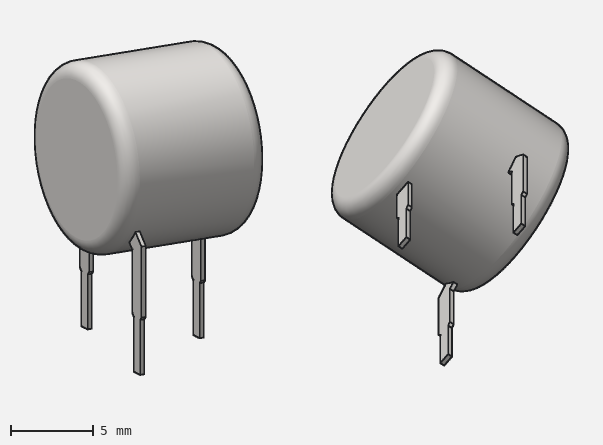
import cadquery as cq
import math

CAN_DIAMETER = 12.0
CAN_LENGTH = 10.0
CAN_EDGE_RADIUS = 1.0

LEAD_PITCH = 5.0
LEAD_THICKNESS = 0.3
SHANK_WIDTH = 1.15
TIP_WIDTH = 0.8
TIP_BOTTOM_Z = -12.5
TIP_TOP_Z = -9.0
SHOULDER_Z = -8.8
BEND_Z = -4.53
BEND_ANGLE = 45.0

LEFT_LEAD_Y = -1.5
CENTER_LEAD_Y = 3.5
RIGHT_LEAD_Y = -3.5

CAN_RADIUS = CAN_DIAMETER / 2
SHANK_HALF = SHANK_WIDTH / 2
TIP_HALF = TIP_WIDTH / 2


def make_can():
    drum = cq.Workplane("XZ", origin=(0, CAN_LENGTH / 2, 0)).circle(CAN_RADIUS).extrude(CAN_LENGTH)
    return drum.edges().fillet(CAN_EDGE_RADIUS)


def shank_top(lean):
    """Upper outline points, right to left, leaning toward +X (1), -X (-1) or straight up (0).

    The points reach inside the can, whose surface then trims the lead.
    """
    if lean == 0:
        return [(SHANK_HALF, 0), (-SHANK_HALF, 0)]
    angle = math.radians(BEND_ANGLE)
    miter = SHANK_HALF * math.tan(angle / 2)
    reach = CAN_RADIUS / 2
    run = reach * math.sin(angle)
    rise = reach * math.cos(angle)
    right_corner = (SHANK_HALF, BEND_Z - lean * miter)
    left_corner = (-SHANK_HALF, BEND_Z + lean * miter)
    right_end = (right_corner[0] + lean * run, right_corner[1] + rise)
    left_end = (left_corner[0] + lean * run, left_corner[1] + rise)
    return [right_corner, right_end, left_end, left_corner]


def make_lead(x, y, lean, can):
    """One flat lead: narrow tip, tapered shoulders and a shank that ends on the can surface."""
    outline = [
        (-SHANK_HALF, SHOULDER_Z),
        (-TIP_HALF, TIP_TOP_Z),
        (-TIP_HALF, TIP_BOTTOM_Z),
        (TIP_HALF, TIP_BOTTOM_Z),
        (TIP_HALF, TIP_TOP_Z),
        (SHANK_HALF, SHOULDER_Z),
        *shank_top(lean),
    ]
    blank = cq.Workplane("XZ").polyline(outline).close().extrude(LEAD_THICKNESS / 2, both=True)
    return blank.translate((x, y, 0)).cut(can).solids()


can = make_can()

LEAD_PLACES = [
    (-LEAD_PITCH, LEFT_LEAD_Y, 1),
    (0, CENTER_LEAD_Y, 0),
    (LEAD_PITCH, RIGHT_LEAD_Y, -1),
]
leads = [make_lead(x, y, lean, can) for x, y, lean in LEAD_PLACES]

result = cq.Compound.makeCompound([can.val(), *[lead.val() for lead in leads]])